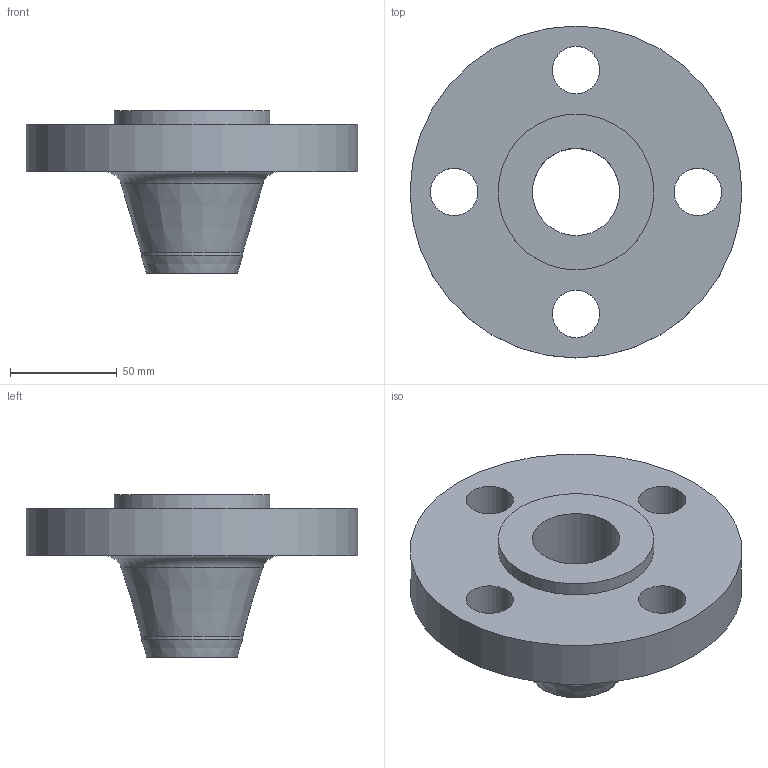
import math

import cadquery as cq

INCH = 25.4

flange_diameter = 6.125 * INCH
flange_thickness = 0.875 * INCH
face_diameter = 2.875 * INCH
face_height = 0.25 * INCH
overall_length = 3.0 * INCH
bore_diameter = 1.61 * INCH

bolt_count = 4
bolt_hole_diameter = 0.875 * INCH
bolt_circle_diameter = 4.5 * INCH

hub_base_diameter = 2.75 * INCH
pipe_diameter = 1.88 * INCH
pipe_end_length = 1.5
weld_land = 0.8
bevel_height = 8.4
root_fillet_radius = 7.8

flange_radius = flange_diameter / 2
face_radius = face_diameter / 2
bore_radius = bore_diameter / 2
hub_base_radius = hub_base_diameter / 2
pipe_radius = pipe_diameter / 2
weld_end_radius = bore_radius + weld_land

taper_bottom = bevel_height + pipe_end_length
flange_top = overall_length - face_height
flange_bottom = flange_top - flange_thickness

taper_angle = math.atan2(hub_base_radius - pipe_radius, flange_bottom - taper_bottom)
fillet_center_z = flange_bottom - root_fillet_radius
fillet_tangent_length = root_fillet_radius * math.tan((math.pi / 2 - taper_angle) / 2)
fillet_center_r = hub_base_radius + fillet_tangent_length


def fillet_point(angle):
    """Point (r, z) on the root fillet at an angle from the +r direction."""
    return (
        fillet_center_r + root_fillet_radius * math.cos(angle),
        fillet_center_z + root_fillet_radius * math.sin(angle),
    )


def make_body():
    """Flange, raised face, hub and bore, revolved about the Z axis."""
    fillet_flange_angle = math.pi / 2
    fillet_hub_angle = math.pi - taper_angle
    fillet_mid_angle = (fillet_flange_angle + fillet_hub_angle) / 2
    return (
        cq.Workplane("XZ")
        .moveTo(bore_radius, 0)
        .lineTo(weld_end_radius, 0)
        .lineTo(pipe_radius, bevel_height)
        .lineTo(pipe_radius, taper_bottom)
        .lineTo(*fillet_point(fillet_hub_angle))
        .threePointArc(fillet_point(fillet_mid_angle), fillet_point(fillet_flange_angle))
        .lineTo(flange_radius, flange_bottom)
        .lineTo(flange_radius, flange_top)
        .lineTo(face_radius, flange_top)
        .lineTo(face_radius, overall_length)
        .lineTo(bore_radius, overall_length)
        .close()
        .revolve(360, (0, 0, 0), (0, 1, 0))
    )


def make_bolt_holes():
    """Through-hole cutters, the first one on the +X axis."""
    return (
        cq.Workplane("XY")
        .workplane(offset=flange_bottom)
        .polarArray(bolt_circle_diameter / 2, 0, 360, bolt_count)
        .circle(bolt_hole_diameter / 2)
        .extrude(flange_thickness)
    )


result = make_body().cut(make_bolt_holes())